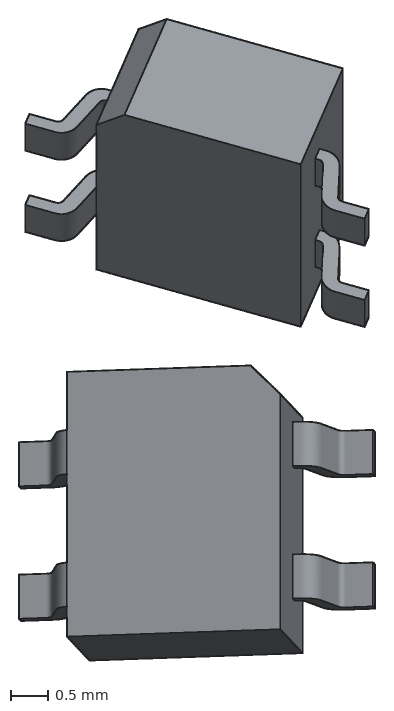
import cadquery as cq
import math

overall_span = 4.8
overall_depth = 1.85
body_width = 2.89
body_height = 3.6
standoff = 0.15
corner_chamfer = 0.4

lead_width = 0.6
lead_pitch = body_height / 2
lead_thickness = 0.175
leg_width_along_x = 0.23
lead_rise = 0.9
foot_flat = 0.42
inner_bend_radius = 0.09
lead_angle = math.radians(73)

body_depth = overall_depth - standoff
outer_bend_radius = inner_bend_radius + lead_thickness


def make_body():
    """Block with its upper left corner cut off."""
    block = cq.Workplane("XY").box(body_width, body_depth, body_height)
    block = block.edges("<X and >Z").chamfer(corner_chamfer)
    return block.translate((0, standoff + body_depth / 2, 0))


def make_left_lead():
    """Gull-wing strip from the foot tip to the body's left wall, centred on Z = 0."""
    tip_x = -overall_span / 2
    wall_x = -body_width / 2
    half_angle_tangent = math.tan(lead_angle / 2)
    shoulder_underside = lead_rise - lead_thickness
    slope_run = shoulder_underside / math.tan(lead_angle)
    corner_shift = leg_width_along_x - lead_thickness / math.tan(lead_angle)

    heel_x = tip_x + foot_flat + outer_bend_radius * half_angle_tangent
    shoulder_x = heel_x + slope_run
    outline = [
        (tip_x, 0),
        (heel_x, 0),
        (shoulder_x, shoulder_underside),
        (wall_x, shoulder_underside),
        (wall_x, lead_rise),
        (shoulder_x - corner_shift, lead_rise),
        (heel_x - corner_shift, lead_thickness),
        (tip_x, lead_thickness),
    ]
    lead = cq.Workplane("XY").polyline(outline).close().extrude(lead_width / 2, both=True)

    inner_corners = [
        (shoulder_x, shoulder_underside, 0),
        (heel_x - corner_shift, lead_thickness, 0),
    ]
    outer_corners = [
        (heel_x, 0, 0),
        (shoulder_x - corner_shift, lead_rise, 0),
    ]
    for corner in inner_corners:
        lead = lead.edges(cq.NearestToPointSelector(corner)).fillet(inner_bend_radius)
    for corner in outer_corners:
        lead = lead.edges(cq.NearestToPointSelector(corner)).fillet(outer_bend_radius)
    return lead


left_lead = make_left_lead()
right_lead = left_lead.mirror("YZ")

result = make_body()
for lead_z in (-lead_pitch / 2, lead_pitch / 2):
    for lead in (left_lead, right_lead):
        result = result.union(lead.translate((0, 0, lead_z)))